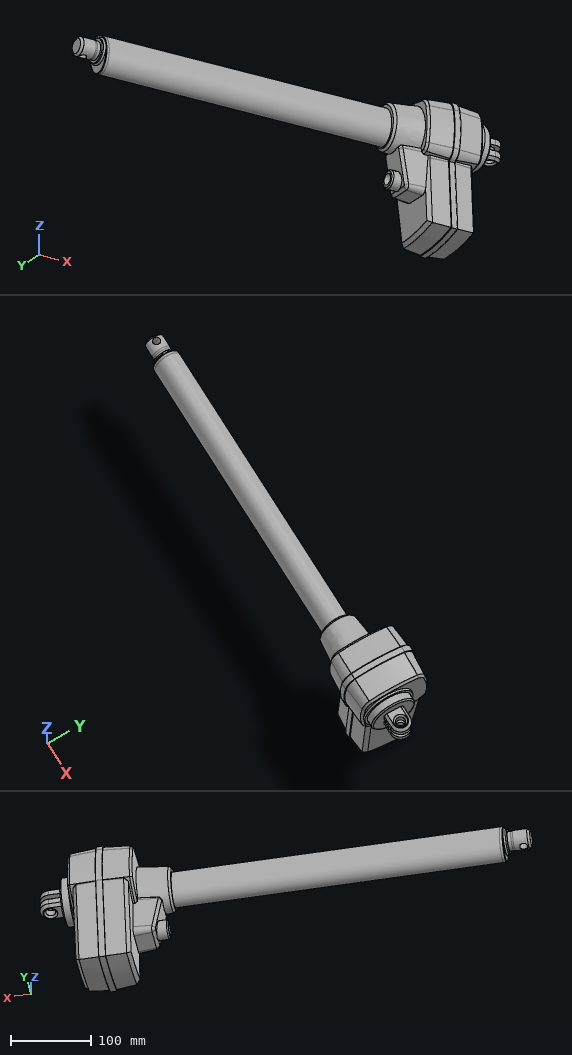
import cadquery as cq
import math

LENGTH = 623.0

ROD_RADIUS = 12.5
ROD_HEAD_RADIUS = 13.0
ROD_HEAD_LENGTH = 21.0
ROD_HEAD_CHAMFER = 2.5
ROD_TIP_CHAMFER = 3.0
ROD_HOLE_X = 9.5
ROD_HOLE_RADIUS = 5.0
COLLAR_X = 28.0
COLLAR_RADIUS = 16.0
COLLAR_LIP = 2.0
COLLAR_BASE_RADIUS = 18.0

TUBE_X = 32.5
TUBE_WIDTH = 38.0
TUBE_TOP = 22.0
TUBE_BOTTOM = -30.0
CAP_LENGTH = 4.5
CAP_CHAMFER = 0.95
KEY_WIDTH = 7.5
KEY_TOP = 20.0
KEY_BOTTOM = 12.5
KEY_PROJECTION = 3.0

SLEEVE_X = 453.0
SLEEVE_FRONT = (52.5, 29.0, -35.0)
SLEEVE_BACK = (61.5, 33.5, -37.5)
SLEEVE_CHAMFER = 3.0

GEARBOX_FRONT_X = 495.0
GEARBOX_BACK_X = 577.5
LEG_FRONT_X = 501.0
LEG_BACK_X = 571.0
RIB_X = 536.5
RIB_THICKNESS = 9.0
RIB_HEIGHT = 1.0
DRAFT_ANGLE = 4.5
GEARBOX_BEVEL = 3.0
LEG_BEVEL = 5.0
BEVEL_ANGLE = 45.0

TOP_RIGHT = (-26.0, 40.5)
TOP_MIDDLE = (10.0, 45.0)
TOP_LEFT = (46.0, 41.0)
LEFT_SHOULDER = (55.0, 35.0)
LEFT_SIDE_HIGH = (60.0, 24.0)
LEFT_SIDE_MIDDLE = (63.5, -5.0)
LEFT_SIDE_LOW = (61.0, -31.0)
LEG_BOTTOM_LEFT = (40.5, -146.5)
LEG_BOTTOM_MIDDLE = (6.0, -144.5)
LEG_BOTTOM_RIGHT = (-34.0, -134.5)
LEG_TOP_RIGHT = (-28.0, -42.0)
BULGE_LOW = (-30.0, -40.0)
BULGE_MIDDLE = (-35.0, -35.5)
RIGHT_SIDE_LOW = (-38.5, -27.5)
RIGHT_SIDE_MIDDLE = (-42.0, 0)
RIGHT_SIDE_HIGH = (-39.0, 24.0)
RIGHT_SHOULDER = (-34.0, 34.0)
GEARBOX_BOTTOM_MIDDLE = (25.0, -45.0)

BLOCK_TOP_X = 464.0
BLOCK_BOTTOM_X = 475.0
BLOCK_TOP = -26.0
BLOCK_BOTTOM = -91.0
BLOCK_WIDTH = 45.5
BLOCK_CORNER_RADIUS = 9.0
BLOCK_DRAFT_ANGLE = 5.0
BLOCK_FRONT_CHAMFER = 4.0
GLAND_X = 458.5
GLAND_Z = -73.0
GLAND_RADIUS = 12.5
GLAND_BORE_RADIUS = 7.5
GLAND_BORE_DEPTH = 11.0
GLAND_CHAMFER = 2.0

REAR_CAP_RADIUS = 31.0
REAR_CAP_END_X = 592.5
REAR_CAP_CHAMFER = 2.0
REAR_FLANGE_RADIUS = 35.0
REAR_FLANGE_END_X = 580.5
CLEVIS_RADIUS = 14.0
CLEVIS_HEIGHT = 31.0
CLEVIS_SLOT = 7.5
CLEVIS_CHAMFER = 4.0
CLEVIS_HOLE_RADIUS = 6.0
CLEVIS_RIM_RADIUS = 9.0
PIN_X = LENGTH - CLEVIS_RADIUS


def oval(x, width, top, bottom):
    """Upright elliptical sketch across the axis at the given X."""
    plane = cq.Workplane("YZ", origin=(x, 0, (top + bottom) / 2))
    return plane.ellipse((top - bottom) / 2, width / 2, rotation_angle=90)


def cylinder(x_start, x_end, radius, z=0.0):
    return cq.Workplane("YZ", origin=(x_start, 0, z)).circle(radius).extrude(x_end - x_start)


def push_rod():
    outline = [
        (0, 0),
        (0, ROD_HEAD_RADIUS - ROD_TIP_CHAMFER),
        (ROD_TIP_CHAMFER, ROD_HEAD_RADIUS),
        (ROD_HEAD_LENGTH, ROD_HEAD_RADIUS),
        (ROD_HEAD_LENGTH + ROD_HEAD_CHAMFER, ROD_RADIUS),
        (COLLAR_X, ROD_RADIUS),
        (COLLAR_X, COLLAR_RADIUS),
        (COLLAR_X + COLLAR_LIP, COLLAR_RADIUS),
        (TUBE_X, COLLAR_BASE_RADIUS),
        (TUBE_X + CAP_LENGTH, COLLAR_BASE_RADIUS),
        (TUBE_X + CAP_LENGTH, 0),
    ]
    rod = cq.Workplane("XY").polyline(outline).close().revolve(360, (0, 0, 0), (1, 0, 0))
    cross_hole = cq.Workplane("XY").center(ROD_HOLE_X, 0).circle(ROD_HOLE_RADIUS)
    return rod.cut(cross_hole.extrude(ROD_HEAD_RADIUS, both=True))


def guide_tube():
    section = (TUBE_WIDTH, TUBE_TOP, TUBE_BOTTOM)
    cap = oval(TUBE_X, *section).extrude(CAP_LENGTH).faces("<X").chamfer(CAP_CHAMFER)
    tube = oval(TUBE_X + CAP_LENGTH, *section).extrude(RIB_X - TUBE_X - CAP_LENGTH)
    key = cq.Workplane("XY").box(2 * KEY_PROJECTION, KEY_WIDTH, KEY_TOP - KEY_BOTTOM)
    return cap.union(tube).union(key.translate((TUBE_X, 0, (KEY_TOP + KEY_BOTTOM) / 2)))


def flared_sleeve():
    width, top, bottom = SLEEVE_BACK
    back = oval(GEARBOX_FRONT_X, width, top, bottom).wires().val()
    front = oval(SLEEVE_X, *SLEEVE_FRONT).wires().val()
    sleeve = cq.Workplane(cq.Solid.makeLoft([front, back], True))
    sleeve = sleeve.faces("<X").edges().chamfer(SLEEVE_CHAMFER)
    return sleeve.union(oval(GEARBOX_FRONT_X, width, top, bottom).extrude(RIB_X - GEARBOX_FRONT_X))


def draw_upper_outline(sketch):
    """Continue a sketch from BULGE_LOW up the right side, over the top and down the left side."""
    return (
        sketch.threePointArc(BULGE_MIDDLE, RIGHT_SIDE_LOW)
        .threePointArc(RIGHT_SIDE_MIDDLE, RIGHT_SIDE_HIGH)
        .threePointArc(RIGHT_SHOULDER, TOP_RIGHT)
        .threePointArc(TOP_MIDDLE, TOP_LEFT)
        .threePointArc(LEFT_SHOULDER, LEFT_SIDE_HIGH)
        .threePointArc(LEFT_SIDE_MIDDLE, LEFT_SIDE_LOW)
    )


def draw_leg_bottom(sketch):
    """Continue a sketch from LEFT_SIDE_LOW down the leg and along its curved bottom."""
    return sketch.lineTo(*LEG_BOTTOM_LEFT).threePointArc(LEG_BOTTOM_MIDDLE, LEG_BOTTOM_RIGHT)


def rib_outline(plane):
    upper = draw_upper_outline(plane.moveTo(*LEG_TOP_RIGHT).lineTo(*BULGE_LOW))
    return draw_leg_bottom(upper).close()


def gearbox_outline(plane):
    upper = draw_upper_outline(plane.moveTo(*BULGE_LOW))
    return upper.threePointArc(GEARBOX_BOTTOM_MIDDLE, BULGE_LOW).close()


def leg_outline(plane):
    """The leg reaches up inside the gearbox to the height of the axis."""
    top = plane.moveTo(LEG_TOP_RIGHT[0], 0).lineTo(LEFT_SIDE_LOW[0], 0).lineTo(*LEFT_SIDE_LOW)
    return draw_leg_bottom(top).lineTo(*LEG_TOP_RIGHT).close()


def drafted_shell(outline, front_x, back_x, bevel_depth):
    """Two halves drafted away from the rib plane, with bevelled end faces."""
    shell = cq.Workplane("YZ")
    for end_x in (front_x, back_x):
        direction = math.copysign(1, end_x - RIB_X)
        depth = abs(end_x - RIB_X) - bevel_depth
        bevel_x = RIB_X + direction * depth
        end_inset = RIB_HEIGHT + depth * math.tan(math.radians(DRAFT_ANGLE))
        wall = outline(cq.Workplane("YZ", origin=(RIB_X, 0, 0))).offset2D(-RIB_HEIGHT)
        bevel = outline(cq.Workplane("YZ", origin=(bevel_x, 0, 0))).offset2D(-end_inset)
        shell = shell.union(wall.extrude(direction * depth, taper=DRAFT_ANGLE))
        shell = shell.union(bevel.extrude(direction * bevel_depth, taper=BEVEL_ANGLE))
    return shell


def housing():
    gearbox = drafted_shell(gearbox_outline, GEARBOX_FRONT_X, GEARBOX_BACK_X, GEARBOX_BEVEL)
    leg = drafted_shell(leg_outline, LEG_FRONT_X, LEG_BACK_X, LEG_BEVEL)
    rib_plane = cq.Workplane("YZ", origin=(RIB_X - RIB_THICKNESS / 2, 0, 0))
    rib = rib_outline(rib_plane).extrude(RIB_THICKNESS)
    return gearbox.union(leg).union(rib)


def cable_block():
    """Drafted block with rounded corners and a bevelled, sloping front face."""
    base_x = LEG_FRONT_X + LEG_BEVEL
    height = BLOCK_TOP - BLOCK_BOTTOM
    section = cq.Sketch().rect(BLOCK_WIDTH, height).vertices().fillet(BLOCK_CORNER_RADIUS)
    block = (
        cq.Workplane("YZ", origin=(base_x, 0, (BLOCK_TOP + BLOCK_BOTTOM) / 2))
        .placeSketch(section)
        .extrude(GLAND_X - base_x, taper=BLOCK_DRAFT_ANGLE)
    )
    ahead_of_slope = (
        cq.Workplane("XZ")
        .moveTo(GLAND_X, BLOCK_TOP)
        .lineTo(BLOCK_TOP_X, BLOCK_TOP)
        .lineTo(BLOCK_BOTTOM_X, BLOCK_BOTTOM)
        .lineTo(GLAND_X, BLOCK_BOTTOM)
        .close()
        .extrude(BLOCK_WIDTH, both=True)
    )
    return block.cut(ahead_of_slope).faces("<X").chamfer(BLOCK_FRONT_CHAMFER)


def cable_gland():
    gland = cylinder(GLAND_X, LEG_FRONT_X, GLAND_RADIUS, GLAND_Z).faces("<X").chamfer(GLAND_CHAMFER)
    return gland.cut(cylinder(GLAND_X, GLAND_X + GLAND_BORE_DEPTH, GLAND_BORE_RADIUS, GLAND_Z))


def rear_cap():
    cap = cylinder(RIB_X, REAR_CAP_END_X, REAR_CAP_RADIUS).faces(">X").chamfer(REAR_CAP_CHAMFER)
    return cap.union(cylinder(RIB_X, REAR_FLANGE_END_X, REAR_FLANGE_RADIUS))


def clevis_pin_hole():
    """Cutter along Z for the pin hole with a 45 degree countersink at both ends."""
    half_height = CLEVIS_HEIGHT / 2
    straight_half = half_height - (CLEVIS_RIM_RADIUS - CLEVIS_HOLE_RADIUS)
    outline = [
        (0, -half_height),
        (CLEVIS_RIM_RADIUS, -half_height),
        (CLEVIS_HOLE_RADIUS, -straight_half),
        (CLEVIS_HOLE_RADIUS, straight_half),
        (CLEVIS_RIM_RADIUS, half_height),
        (0, half_height),
    ]
    plane = cq.Workplane("XZ", origin=(PIN_X, 0, 0))
    return plane.polyline(outline).close().revolve(360, (0, 0, 0), (0, 1, 0))


def clevis():
    base_x = REAR_FLANGE_END_X
    lug = (
        cq.Workplane("XY", origin=(0, 0, -CLEVIS_HEIGHT / 2))
        .moveTo(base_x, -CLEVIS_RADIUS)
        .lineTo(PIN_X, -CLEVIS_RADIUS)
        .threePointArc((LENGTH, 0), (PIN_X, CLEVIS_RADIUS))
        .lineTo(base_x, CLEVIS_RADIUS)
        .close()
        .extrude(CLEVIS_HEIGHT)
    )
    lug = lug.faces("<Z or >Z").edges("not <X").chamfer(CLEVIS_CHAMFER)
    slot_length = LENGTH - REAR_CAP_END_X
    slot = cq.Workplane("XY").box(slot_length, 2 * CLEVIS_RADIUS, CLEVIS_SLOT)
    lug = lug.cut(slot.translate((LENGTH - slot_length / 2, 0, 0)))
    return lug.cut(clevis_pin_hole())


result = push_rod()
for component in (
    guide_tube(),
    flared_sleeve(),
    housing(),
    cable_block(),
    cable_gland(),
    rear_cap(),
    clevis(),
):
    result = result.union(component)